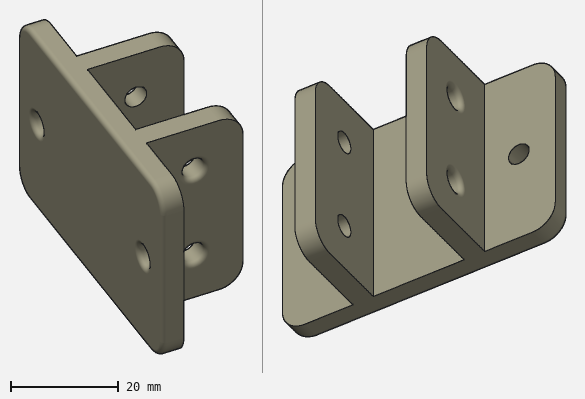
import cadquery as cq

plate_width = 60.0
plate_height = 40.0
thickness = 4.5
ear_length = 20.0
ear_gap = 20.0
corner_radius = 5.0
edge_radius = 1.0
hole_diameter = 4.5
plate_hole_spacing = 44.0
ear_hole_spacing = 20.0

ear_hole_y = thickness + ear_length / 2
ear_inner_x = ear_gap / 2
ear_outer_x = ear_inner_x + thickness


def make_plate():
    """Upright plate with round corners and a rounded front edge."""
    plate = (
        cq.Workplane("XZ")
        .rect(plate_width, plate_height)
        .extrude(-thickness)
        .edges("|Y")
        .fillet(corner_radius)
    )
    return plate.faces("<Y").edges().fillet(edge_radius)


def make_ear(start_x):
    """Ear behind the plate, its two far corners rounded."""
    return (
        cq.Workplane("XY")
        .box(thickness, ear_length, plate_height, centered=(False, False, True))
        .translate((start_x, thickness, 0))
        .faces(">Y")
        .edges("|X")
        .fillet(corner_radius)
    )


def make_hole_cutter(mouth, direction):
    """Through-hole tool with a rounded mouth, starting at a face and running inward."""
    hole_radius = hole_diameter / 2
    mouth_radius = hole_radius + edge_radius
    diagonal = edge_radius * (1 - 0.5**0.5)
    profile = (
        cq.Workplane("XY")
        .lineTo(mouth_radius, 0)
        .threePointArc((hole_radius + diagonal, diagonal), (hole_radius, edge_radius))
        .lineTo(hole_radius, thickness)
        .lineTo(0, thickness)
        .close()
    )
    tool = profile.revolve(360, (0, 0, 0), (0, 1, 0))
    turns = {"+Y": 0, "+X": -90, "-X": 90}
    return tool.rotate((0, 0, 0), (0, 0, 1), turns[direction]).translate(mouth)


result = make_plate()
for ear_start in (-ear_outer_x, ear_inner_x):
    result = result.union(make_ear(ear_start))

for side in (-1, 1):
    mouth = (side * plate_hole_spacing / 2, 0, 0)
    result = result.cut(make_hole_cutter(mouth, "+Y"))

for side in (-1, 1):
    hole_z = side * ear_hole_spacing / 2
    result = result.cut(make_hole_cutter((-ear_outer_x, ear_hole_y, hole_z), "+X"))
    result = result.cut(make_hole_cutter((ear_outer_x, ear_hole_y, hole_z), "-X"))